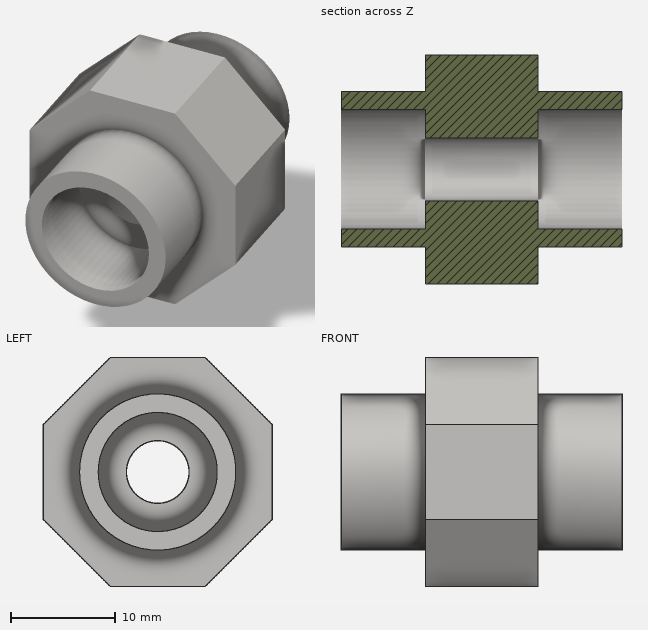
import cadquery as cq
import math

total_length = 27.0
nut_length = 10.85
nut_across_flats = 22.0
nut_sides = 8
sleeve_diameter = 15.0
socket_diameter = 11.45
bore_diameter = 6.0

socket_depth = (total_length - nut_length) / 2
half_length = total_length / 2


def cylinder_along_x(start, length, diameter):
    return cq.Workplane("YZ", origin=(start, 0, 0)).circle(diameter / 2).extrude(length)


def octagonal_nut():
    corner_angle = math.pi / nut_sides
    across_corners = nut_across_flats / math.cos(corner_angle)
    nut = (
        cq.Workplane("YZ", origin=(-nut_length / 2, 0, 0))
        .polygon(nut_sides, across_corners)
        .extrude(nut_length)
    )
    return nut.rotate((0, 0, 0), (1, 0, 0), math.degrees(corner_angle))


body = octagonal_nut().union(cylinder_along_x(-half_length, total_length, sleeve_diameter))
body = body.cut(cylinder_along_x(-half_length, total_length, bore_diameter))

for socket_start in (-half_length, half_length - socket_depth):
    body = body.cut(cylinder_along_x(socket_start, socket_depth, socket_diameter))

result = body